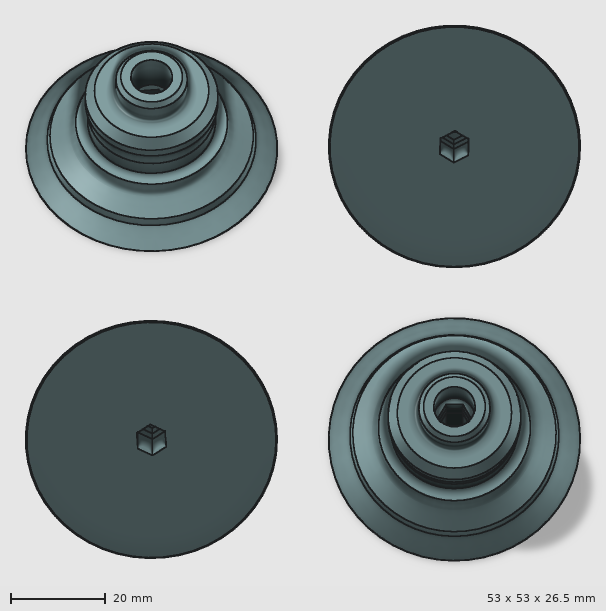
import cadquery as cq
import math


HEX_ACROSS_FLATS = 6.0

LIP_DIAMETER = 53.0
LIP_EDGE_HEIGHT = 0.3
LIP_EDGE_INSET = 0.25
LIP_TOP_RADIUS = 22.0
LIP_TOP_Z = 3.4
SHOULDER_RADIUS = 21.4
SHOULDER_Z = 5.0
COLLAR_DIAMETER = 32.0
COLLAR_TOP_Z = 9.95
COLLAR_FOOT_Z = 8.15
COLLAR_FILLET = 2.75
NECK_BASE_DIAMETER = 20.05
NECK_TOP_DIAMETER = 19.5
NECK_HEIGHT = 0.4

RING_DIAMETER = 27.0
RING_BOTTOM_Z = COLLAR_TOP_Z + NECK_HEIGHT
RING_HEIGHT = 3.55

FITTING_BOTTOM_Z = RING_BOTTOM_Z + RING_HEIGHT
FITTING_TOP_Z = 26.5
FLANGE_DIAMETER = 28.0
FLANGE_BOTTOM_Z = 17.45
FLANGE_TOP_Z = 21.45
FLANGE_CHAMFER = 1.95
SPIGOT_DIAMETER = 15.0
SPIGOT_CHAMFER = 1.0
SPIGOT_FILLET = 1.0
BORE_DIAMETER = 8.7
BORE_BOTTOM_Z = FLANGE_BOTTOM_Z


def cylinder(diameter, bottom_z, top_z):
    """Upright cylinder on the Z axis between two heights."""
    return cq.Workplane("XY", origin=(0, 0, bottom_z)).circle(diameter / 2).extrude(top_z - bottom_z)


def key_hole():
    """Hexagonal prism through the full height, with its corners on the Y axis."""
    across_corners = HEX_ACROSS_FLATS / math.cos(math.radians(30))
    hexagon = cq.Workplane("XY").polygon(6, across_corners).extrude(FITTING_TOP_Z)
    return hexagon.rotate((0, 0, 0), (0, 0, 1), 30)


def make_cup():
    """Flared cup with a stepped lip, a concave collar and a short neck under the ring."""
    lip_radius = LIP_DIAMETER / 2
    collar_radius = COLLAR_DIAMETER / 2

    cone_run = SHOULDER_RADIUS - collar_radius
    cone_drop = COLLAR_FOOT_Z - SHOULDER_Z
    turn = math.atan2(cone_run, cone_drop)
    tangent_length = COLLAR_FILLET * math.tan(turn / 2)
    arc_center_radius = collar_radius + COLLAR_FILLET
    arc_top_z = COLLAR_FOOT_Z + tangent_length

    def arc_point(angle):
        return (
            arc_center_radius - COLLAR_FILLET * math.cos(angle),
            arc_top_z - COLLAR_FILLET * math.sin(angle),
        )

    profile = (
        cq.Workplane("XZ")
        .moveTo(0, 0)
        .lineTo(lip_radius - LIP_EDGE_INSET, 0)
        .lineTo(lip_radius, LIP_EDGE_HEIGHT)
        .lineTo(LIP_TOP_RADIUS, LIP_TOP_Z)
        .lineTo(SHOULDER_RADIUS, SHOULDER_Z)
        .lineTo(*arc_point(turn))
        .threePointArc(arc_point(turn / 2), arc_point(0))
        .lineTo(collar_radius, COLLAR_TOP_Z)
        .lineTo(NECK_BASE_DIAMETER / 2, COLLAR_TOP_Z)
        .lineTo(NECK_TOP_DIAMETER / 2, RING_BOTTOM_Z)
        .lineTo(0, RING_BOTTOM_Z)
        .close()
    )
    return profile.revolve(360, (0, 0, 0), (0, 1, 0)).cut(key_hole())


def make_ring():
    """Plain ring between the cup and the fitting."""
    return cylinder(RING_DIAMETER, RING_BOTTOM_Z, FITTING_BOTTOM_Z).cut(key_hole())


def make_fitting():
    """Base as wide as the ring, chamfered flange and a bored spigot with a filleted root."""
    base = cylinder(RING_DIAMETER, FITTING_BOTTOM_Z, FLANGE_BOTTOM_Z)
    flange = cylinder(FLANGE_DIAMETER, FLANGE_BOTTOM_Z, FLANGE_TOP_Z).faces(">Z").chamfer(FLANGE_CHAMFER)
    spigot = cylinder(SPIGOT_DIAMETER, FLANGE_TOP_Z, FITTING_TOP_Z).faces(">Z").chamfer(SPIGOT_CHAMFER)
    body = base.union(flange).union(spigot)

    flange_top = body.faces("|Z").faces(">Z[-2]")
    body = flange_top.edges(cq.selectors.RadiusNthSelector(0)).fillet(SPIGOT_FILLET)

    bore = cylinder(BORE_DIAMETER, BORE_BOTTOM_Z, FITTING_TOP_Z)
    return body.cut(bore).cut(key_hole())


cup = make_cup()
ring = make_ring()
fitting = make_fitting()

result = cq.Compound.makeCompound([cup.val(), ring.val(), fitting.val()])